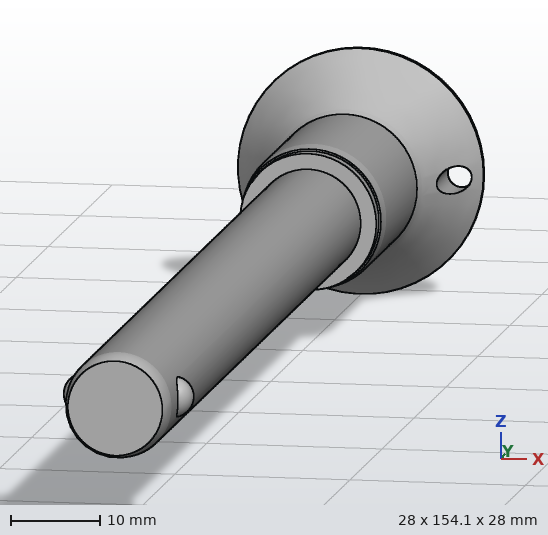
import cadquery as cq

length = 154.1
head_end = length / 2
tip_end = -length / 2

head_radius = 28.0 / 2
rim_thickness = 0.6
flare_end = 9.5
flare_end_radius = 8.6
flare_sag = 0.3
sleeve_start = 10.5
sleeve_radius = 16.5 / 2
taper_start = 29.7
taper_end = 31.7
taper_end_radius = 8.0
collar_end = 33.5
collar_radius = 15.5 / 2

shank_radius = 12.0 / 2
tip_radius = 5.4
tip_length = 2.3
tip_bulge = 0.2

ball_radius = 2.3
ball_reach = 7.4
ball_from_tip = 8.5

lanyard_hole_diameter = 3.1
lanyard_hole_offset = 11.4


def make_body():
    """Revolve the half profile of the head, sleeve and shank about Y."""
    flare_middle = (
        (head_radius + flare_end_radius) / 2 - flare_sag,
        head_end - (rim_thickness + flare_end) / 2,
    )
    tip_middle = (
        (shank_radius + tip_radius) / 2 + tip_bulge,
        tip_end + tip_length / 2,
    )
    profile = (
        cq.Workplane("XY")
        .moveTo(0, head_end)
        .lineTo(head_radius, head_end)
        .lineTo(head_radius, head_end - rim_thickness)
        .threePointArc(flare_middle, (flare_end_radius, head_end - flare_end))
        .lineTo(sleeve_radius, head_end - sleeve_start)
        .lineTo(sleeve_radius, head_end - taper_start)
        .lineTo(taper_end_radius, head_end - taper_end)
        .lineTo(collar_radius, head_end - taper_end)
        .lineTo(collar_radius, head_end - collar_end)
        .lineTo(shank_radius, head_end - collar_end)
        .lineTo(shank_radius, tip_end + tip_length)
        .threePointArc(tip_middle, (tip_radius, tip_end))
        .lineTo(0, tip_end)
        .close()
    )
    return profile.revolve(360, (0, 0, 0), (0, 1, 0))


def make_ball(side):
    """Locking ball protruding from the shank on the +X or -X side."""
    center = (side * (ball_reach - ball_radius), tip_end + ball_from_tip, 0)
    return cq.Workplane("XY").sphere(ball_radius).translate(center)


def make_lanyard_hole():
    """Cutter parallel to the pin axis, passing through the flared head."""
    return (
        cq.Workplane("XZ", origin=(lanyard_hole_offset, head_end, 0))
        .circle(lanyard_hole_diameter / 2)
        .extrude(flare_end)
    )


result = make_body()
for side in (-1, 1):
    result = result.union(make_ball(side))
result = result.cut(make_lanyard_hole())